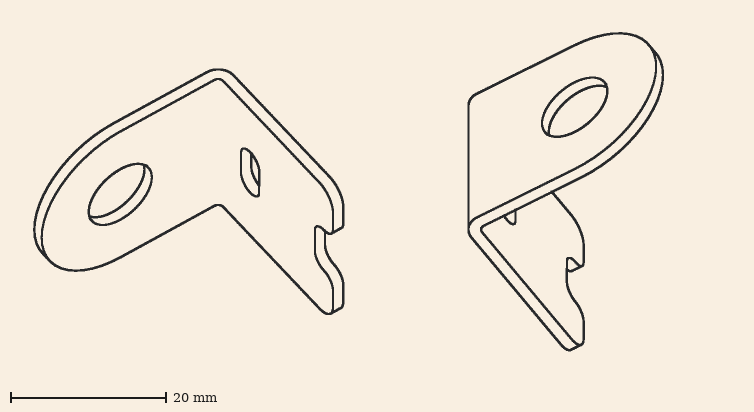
import cadquery as cq

HEIGHT = 25.0
BACK_LENGTH = 26.65
SIDE_LENGTH = 29.9
THICKNESS = 1.65
INNER_BEND_RADIUS = 0.8
HOLE_DIAMETER = 10.0
CORNER_RADIUS = 3.0
SLOT_WIDTH = 4.0
SLOT_HEIGHT = 8.0
SLOT_X = 8.4
NOTCH_DEPTH = 4.0
NOTCH_HEIGHT = 8.0

OUTER_BEND_RADIUS = INNER_BEND_RADIUS + THICKNESS
END_RADIUS = HEIGHT / 2
END_CENTER_Y = -(SIDE_LENGTH - END_RADIUS)
MID_Z = HEIGHT / 2
NOTCH_RADIUS = NOTCH_DEPTH / 2


def bent_sheet():
    """L-shaped sheet with its outer bend corner on the Z axis."""
    blank = cq.Workplane("XY").box(BACK_LENGTH, SIDE_LENGTH, HEIGHT, centered=False)
    blank = blank.translate((0, -SIDE_LENGTH, 0))
    inside = cq.Workplane("XY").box(
        BACK_LENGTH - THICKNESS, SIDE_LENGTH - THICKNESS, HEIGHT, centered=False
    )
    inside = inside.translate((THICKNESS, -SIDE_LENGTH, 0))
    blank = blank.edges("|Z and <X and >Y").fillet(OUTER_BEND_RADIUS)
    inside = inside.edges("|Z and <X and >Y").fillet(INNER_BEND_RADIUS)
    return blank.cut(inside)


def side_leg_envelope():
    """Side leg outline with a full round end, extruded over the whole part in X."""
    return (
        cq.Workplane("YZ")
        .moveTo(0, 0)
        .lineTo(END_CENTER_Y, 0)
        .threePointArc((-SIDE_LENGTH, MID_Z), (END_CENTER_Y, HEIGHT))
        .lineTo(0, HEIGHT)
        .close()
        .extrude(BACK_LENGTH)
    )


def side_hole():
    """Round hole concentric with the end of the side leg."""
    return (
        cq.Workplane("YZ")
        .center(END_CENTER_Y, MID_Z)
        .circle(HOLE_DIAMETER / 2)
        .extrude(THICKNESS)
    )


def back_slot():
    """Upright obround slot through the back leg."""
    return (
        cq.Workplane("XZ")
        .center(SLOT_X, MID_Z)
        .slot2D(SLOT_HEIGHT, SLOT_WIDTH, 90)
        .extrude(THICKNESS)
    )


def edge_notch():
    """Notch in the free edge; each flank is an S-curve of a root arc and a mouth arc."""
    root_x = BACK_LENGTH - NOTCH_DEPTH
    flank_x = root_x + NOTCH_RADIUS
    low_z = MID_Z - NOTCH_HEIGHT / 2
    high_z = MID_Z + NOTCH_HEIGHT / 2
    return (
        cq.Workplane("XZ")
        .moveTo(BACK_LENGTH, low_z - NOTCH_RADIUS)
        .radiusArc((flank_x, low_z), -NOTCH_RADIUS)
        .radiusArc((root_x, low_z + NOTCH_RADIUS), NOTCH_RADIUS)
        .lineTo(root_x, high_z - NOTCH_RADIUS)
        .radiusArc((flank_x, high_z), NOTCH_RADIUS)
        .radiusArc((BACK_LENGTH, high_z + NOTCH_RADIUS), -NOTCH_RADIUS)
        .close()
        .extrude(THICKNESS)
    )


bracket = bent_sheet().intersect(side_leg_envelope())
bracket = bracket.edges("|Y and >X").fillet(CORNER_RADIUS)
result = bracket.cut(side_hole()).cut(back_slot()).cut(edge_notch())